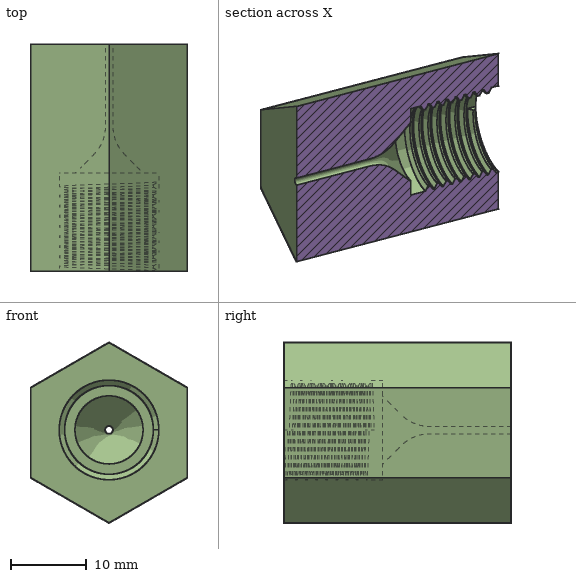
import cadquery as cq
import math

across_flats = 20.66
length = 30.0

bore_offset_z = 0.37

thread_major_radius = 13.157 / 2
thread_pitch = 1.337
thread_flank_angle = math.radians(30)
thread_turns = 8
crest_width = thread_pitch / 4
ridge_base_width = thread_pitch * 7 / 8
flank_width = (ridge_base_width - crest_width) / 2
thread_minor_radius = thread_major_radius - flank_width / math.tan(thread_flank_angle)
ridge_embed = 0.03
thread_start = 0.03
socket_depth = 13.0

inlet_radius = 4.5
bore_radius = 0.5
blend_start_radius = 2.0
cone_half_angle = math.radians(45)


def hex_body():
    across_corners = across_flats / math.cos(math.pi / 6)
    return (
        cq.Workplane("XZ")
        .polygon(6, across_corners)
        .extrude(-length)
        .rotate((0, 0, 0), (0, 1, 0), 30)
    )


def passage():
    """Revolved void: socket, conical inlet, throat round and bore."""
    blend_radius = (blend_start_radius - bore_radius) / (1 - math.cos(cone_half_angle))
    blend_start_y = socket_depth + (inlet_radius - blend_start_radius) / math.tan(cone_half_angle)
    bore_start_y = blend_start_y + blend_radius * math.sin(cone_half_angle)
    mid_angle = cone_half_angle / 2
    blend_mid = (
        bore_radius + blend_radius * (1 - math.cos(mid_angle)),
        bore_start_y - blend_radius * math.sin(mid_angle),
    )
    return (
        cq.Workplane("XY")
        .lineTo(thread_major_radius, 0)
        .lineTo(thread_major_radius, socket_depth)
        .lineTo(inlet_radius, socket_depth)
        .lineTo(blend_start_radius, blend_start_y)
        .threePointArc(blend_mid, (bore_radius, bore_start_y))
        .lineTo(bore_radius, length)
        .lineTo(0, length)
        .close()
        .revolve(360, (0, 0), (0, 1))
        .rotate((0, 0, 0), (0, 1, 0), 90)
    )


def thread_ridge():
    """Right-hand helical ridge standing inward from the socket wall, starting at +X."""
    root_radius = thread_major_radius + ridge_embed
    embed_width = ridge_embed * math.tan(thread_flank_angle)
    helix = cq.Wire.makeHelix(thread_pitch, thread_pitch * thread_turns, thread_major_radius)
    ridge = (
        cq.Workplane("XZ")
        .moveTo(root_radius, -embed_width)
        .lineTo(thread_minor_radius, flank_width)
        .lineTo(thread_minor_radius, flank_width + crest_width)
        .lineTo(root_radius, ridge_base_width + embed_width)
        .close()
        .sweep(cq.Workplane(helix), isFrenet=True)
    )
    return ridge.rotate((0, 0, 0), (1, 0, 0), -90).translate((0, thread_start, 0))


threaded_passage = passage().cut(thread_ridge())
result = hex_body().cut(threaded_passage.translate((0, 0, bore_offset_z)))